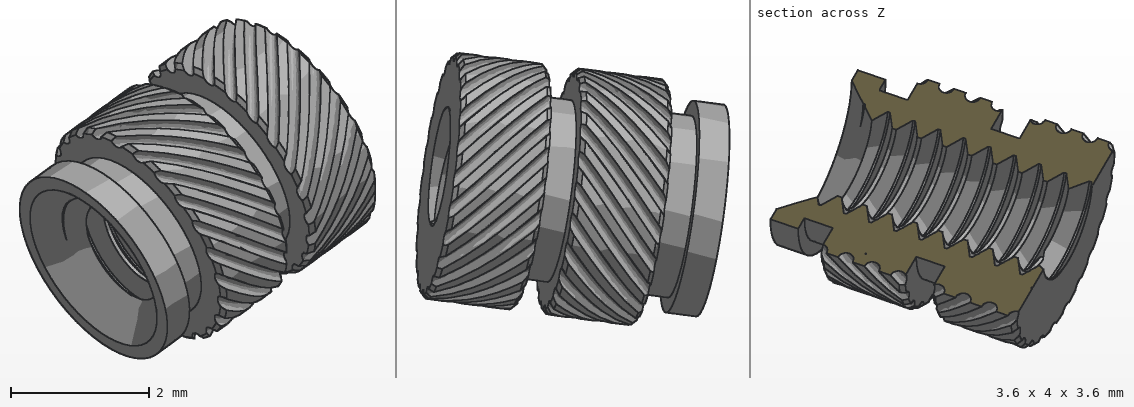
import cadquery as cq
import math


total_length = 4.0
units_per_ring = 3
units_in_total = 3 + 2 * units_per_ring
unit_length = total_length / units_in_total
flange_length = unit_length
neck_length = unit_length
ring_length = units_per_ring * unit_length
near_ring_start = flange_length + neck_length

ring_radius = 1.8
flange_radius = 1.55
neck_radius = 1.33

groove_count = 24
groove_radius = 0.13
groove_lead = 10.0
groove_twist = 360 * ring_length / groove_lead
ring_chamfer = 0.067
ring_overlap = 0.1

thread_pitch = 0.4
major_radius = 1.0
half_thread_angle = 30.0
root_flat = 0.035
sharp_v_height = thread_pitch * math.cos(math.radians(half_thread_angle))
thread_depth = 0.75 * sharp_v_height
minor_radius = major_radius - thread_depth
thread_runout_angle = 155.5
tool_overlap = 0.03

countersink_radius = 1.33
countersink_depth = countersink_radius - minor_radius


def turned_body():
    """Flange, neck, bore and countersink as one revolved outline."""
    return (
        cq.Workplane("YZ")
        .moveTo(minor_radius, countersink_depth)
        .lineTo(countersink_radius, 0)
        .lineTo(flange_radius, 0)
        .lineTo(flange_radius, flange_length)
        .lineTo(neck_radius, flange_length)
        .lineTo(neck_radius, total_length)
        .lineTo(minor_radius, total_length)
        .close()
        .revolve(360, (0, 0, 0), (0, 1, 0))
    )


def thread_groove():
    """Helical thread groove, from the open countersink to beyond the far end."""
    root_runout_height = countersink_radius - major_radius
    start_height = root_runout_height - thread_pitch
    helix_height = total_length + thread_pitch
    inner_radius = minor_radius - tool_overlap
    flank_height = (major_radius - inner_radius) * math.tan(math.radians(half_thread_angle))
    helix = cq.Wire.makeHelix(thread_pitch, helix_height, minor_radius)
    groove = (
        cq.Workplane("XZ")
        .moveTo(inner_radius, -root_flat - flank_height)
        .lineTo(major_radius, -root_flat)
        .lineTo(major_radius, 0)
        .lineTo(inner_radius, flank_height)
        .close()
        .sweep(cq.Workplane(helix), isFrenet=True)
    )
    return groove.rotate((0, 0, 0), (0, 0, 1), thread_runout_angle).translate((0, 0, start_height))


def knurled_ring():
    """Chamfered ring standing on Z = 0, with helical grooves around its rim."""
    blank = cq.Workplane("XY").circle(ring_radius).extrude(ring_length).edges().chamfer(ring_chamfer)
    grooves = (
        cq.Workplane("XY")
        .polarArray(ring_radius, 0, 360, groove_count)
        .circle(groove_radius)
        .twistExtrude(ring_length, groove_twist)
    )
    center = cq.Workplane("XY").circle(neck_radius - ring_overlap).extrude(ring_length)
    return blank.cut(center).cut(grooves, clean=False)


ring = knurled_ring()
near_ring = ring.translate((0, 0, near_ring_start))
far_ring = ring.mirror("XY").translate((0, 0, total_length))
rings = near_ring.union(far_ring, clean=False)

insert = turned_body().cut(thread_groove(), clean=False).union(rings, clean=False)

result = insert.rotate((0, 0, 0), (1, 0, 0), -90)